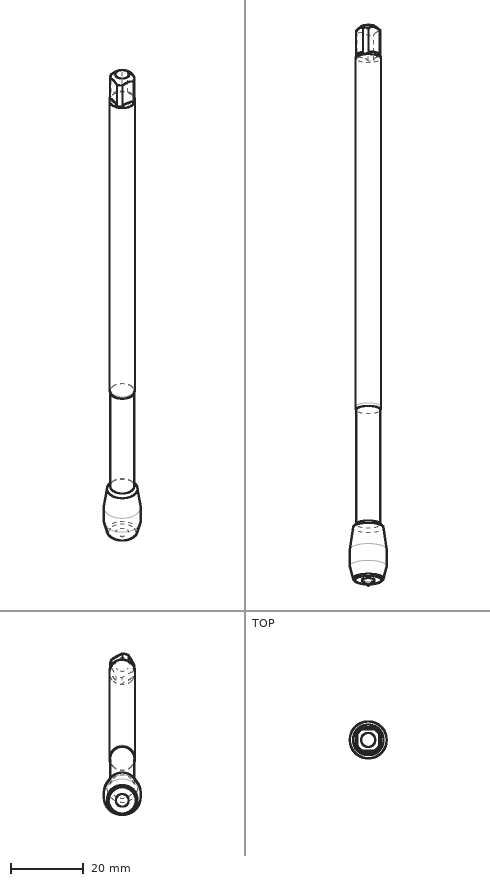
import cadquery as cq

TOTAL_LENGTH = 161.6
DRIVE_BOTTOM = 153.5
HANDLE_TOP_CHAMFER_BOTTOM = 152.6
HANDLE_BOTTOM_CHAMFER_TOP = 51.7
HANDLE_BOTTOM = 51.0
HEAD_TOP = 17.8
HEAD_TOP_CHAMFER_BOTTOM = 16.8
BAND_TOP = 10.5
BAND_BOTTOM = 5.7
HEAD_BOTTOM_CHAMFER_TOP = 2.1
HEAD_BOTTOM = 1.6

ROD_RADIUS = 6.6 / 2
HANDLE_BOTTOM_RADIUS = 6.8 / 2
DRIVE_CORNER_RADIUS = 6.8 / 2
HANDLE_RADIUS = 7.1 / 2
HANDLE_TOP_RADIUS = 3.0
DRIVE_ACROSS_FLATS = 5.8
DRIVE_END_RADIUS = 2.0
DRIVE_CONE_HEIGHT = 1.3

BAND_RADIUS = 10.2 / 2
HEAD_END_RADIUS = 4.2
HEAD_BOTTOM_RADIUS = HEAD_END_RADIUS - (HEAD_BOTTOM_CHAMFER_TOP - HEAD_BOTTOM)
TIP_RADIUS = 1.8


def revolve_profile(points):
    """Revolve a closed (radius, height) outline about the vertical axis."""
    return cq.Workplane("XZ").polyline(points).close().revolve(360, (0, 0, 0), (0, 1, 0))


def make_handle_and_rod():
    """Round part of the shaft: thin rod below, thicker chamfered handle above."""
    return revolve_profile([
        (0, HEAD_TOP),
        (ROD_RADIUS, HEAD_TOP),
        (ROD_RADIUS, HANDLE_BOTTOM),
        (HANDLE_BOTTOM_RADIUS, HANDLE_BOTTOM),
        (HANDLE_RADIUS, HANDLE_BOTTOM_CHAMFER_TOP),
        (HANDLE_RADIUS, HANDLE_TOP_CHAMFER_BOTTOM),
        (HANDLE_TOP_RADIUS, DRIVE_BOTTOM),
        (0, DRIVE_BOTTOM),
    ])


def make_square_drive():
    """Square drive with rounded corners and a coned end, rooted in the handle chamfer."""
    round_stock = revolve_profile([
        (0, HANDLE_TOP_CHAMFER_BOTTOM),
        (DRIVE_CORNER_RADIUS, HANDLE_TOP_CHAMFER_BOTTOM),
        (DRIVE_CORNER_RADIUS, TOTAL_LENGTH - DRIVE_CONE_HEIGHT),
        (DRIVE_END_RADIUS, TOTAL_LENGTH),
        (0, TOTAL_LENGTH),
    ])
    square = cq.Workplane("XY").rect(DRIVE_ACROSS_FLATS, DRIVE_ACROSS_FLATS).extrude(TOTAL_LENGTH)
    return round_stock.intersect(square)


def make_shaft():
    """Rod, handle and square drive in one piece."""
    return make_handle_and_rod().union(make_square_drive())


def make_head():
    """Barrel-shaped head with a cylindrical band and a pointed tip."""
    return revolve_profile([
        (0, 0),
        (TIP_RADIUS, HEAD_BOTTOM),
        (HEAD_BOTTOM_RADIUS, HEAD_BOTTOM),
        (HEAD_END_RADIUS, HEAD_BOTTOM_CHAMFER_TOP),
        (BAND_RADIUS, BAND_BOTTOM),
        (BAND_RADIUS, BAND_TOP),
        (HEAD_END_RADIUS, HEAD_TOP_CHAMFER_BOTTOM),
        (ROD_RADIUS, HEAD_TOP),
        (0, HEAD_TOP),
    ])


shaft = make_shaft()
head = make_head()

result = cq.Compound.makeCompound([shaft.val(), head.val()])